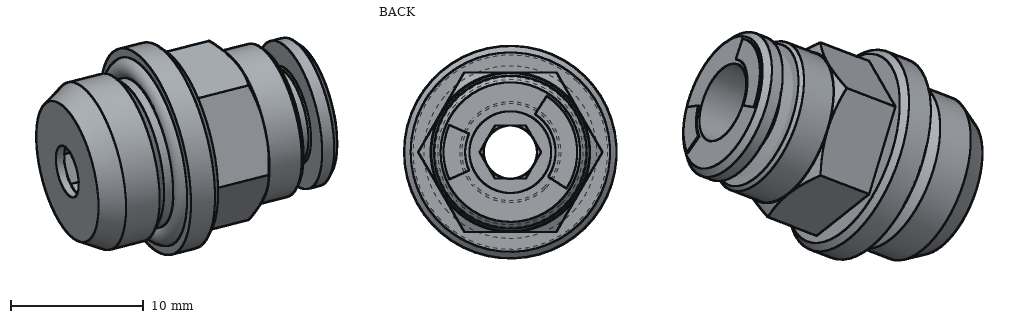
import cadquery as cq
import math


plug_radius = 13.0 / 2
lead_in_length = 1.8
lead_in_angle = 30.0
plug_cylinder_end_y = 4.6
undercut_radius = 11.6 / 2
undercut_start_y = plug_cylinder_end_y + (plug_radius - undercut_radius)

collar_radius = 16.0 / 2
collar_front_y = 6.5
collar_back_y = 9.0
collar_chamfer = 0.5
seal_section_radius = 0.9
seal_mid_radius = 6.45
seal_mid_y = 6.75

hex_sides = 6
hex_across_flats = 12.0
hex_end_y = 14.0
hex_chamfer_angle = 30.0

body_radius = 11.9 / 2
body_end_y = 17.0
body_chamfer = 0.3
lip_radius = 4.95
lip_height = 0.25

neck_radius = 7.3 / 2
neck_flare = 0.15
ring_radius = 11.5 / 2
ring_front_y = 18.5
ring_end_y = 20.0
ring_chamfer = 0.5

pad_height = 0.1
pad_inner_radius = 3.4
pad_outer_radius = 5.03
pad_angles = [(-24.0, 24.0), (123.0, 213.0)]

orifice_diameter = 4.0
orifice_depth = 0.7
socket_across_flats = 4.0
socket_end_y = 5.0
tube_bore_diameter = 6.15


def hex_corner_diameter(across_flats):
    return across_flats / math.cos(math.pi / hex_sides)


def plane_at(y):
    """Plane normal to +Y at the given station, with local x along X and local y along -Z."""
    return cq.Workplane(cq.Plane(origin=(0, y, 0), xDir=(1, 0, 0), normal=(0, 1, 0)))


def revolve_profile(profile):
    """Revolve a half profile, drawn as (radius, y) in the XY plane, about the Y axis."""
    return profile.close().revolve(360, (0, 0, 0), (0, 1, 0))


def make_plug_and_collar():
    tip_radius = plug_radius - lead_in_length * math.tan(math.radians(lead_in_angle))
    seal_inner_rise = math.sqrt(seal_section_radius**2 - (seal_mid_radius - undercut_radius) ** 2)
    seal_outer_reach = math.sqrt(seal_section_radius**2 - (seal_mid_y - collar_front_y) ** 2)
    profile = (
        cq.Workplane("XY")
        .moveTo(0, 0)
        .lineTo(tip_radius, 0)
        .lineTo(plug_radius, lead_in_length)
        .lineTo(plug_radius, plug_cylinder_end_y)
        .lineTo(undercut_radius, undercut_start_y)
        .lineTo(undercut_radius, seal_mid_y - seal_inner_rise)
        .threePointArc(
            (seal_mid_radius, seal_mid_y - seal_section_radius),
            (seal_mid_radius + seal_outer_reach, collar_front_y),
        )
        .lineTo(collar_radius, collar_front_y)
        .lineTo(collar_radius, collar_back_y - collar_chamfer)
        .lineTo(collar_radius - collar_chamfer, collar_back_y)
        .lineTo(0, collar_back_y)
    )
    return revolve_profile(profile)


def make_hexagon():
    corner_diameter = hex_corner_diameter(hex_across_flats)
    prism = plane_at(collar_back_y).polygon(hex_sides, corner_diameter).extrude(hex_end_y - collar_back_y)
    flat_radius = hex_across_flats / 2
    corner_radius = corner_diameter / 2
    chamfer_length = (corner_radius - flat_radius) * math.tan(math.radians(hex_chamfer_angle))
    envelope = revolve_profile(
        cq.Workplane("XY")
        .moveTo(0, collar_back_y)
        .lineTo(corner_radius, collar_back_y)
        .lineTo(corner_radius, hex_end_y - chamfer_length)
        .lineTo(flat_radius, hex_end_y)
        .lineTo(0, hex_end_y)
    )
    return prism.intersect(envelope)


def make_body_and_collet():
    profile = (
        cq.Workplane("XY")
        .moveTo(0, hex_end_y)
        .lineTo(body_radius, hex_end_y)
        .lineTo(body_radius, body_end_y - body_chamfer)
        .lineTo(body_radius - body_chamfer, body_end_y)
        .lineTo(lip_radius, body_end_y)
        .lineTo(neck_radius, body_end_y + lip_height)
        .lineTo(neck_radius, ring_front_y - neck_flare)
        .lineTo(neck_radius + neck_flare, ring_front_y)
        .lineTo(ring_radius, ring_front_y)
        .lineTo(ring_radius, ring_end_y - ring_chamfer)
        .lineTo(ring_radius - ring_chamfer, ring_end_y)
        .lineTo(0, ring_end_y)
    )
    return revolve_profile(profile)


def make_pad(start_angle, end_angle):
    def point(radius, angle):
        return radius * math.cos(math.radians(angle)), -radius * math.sin(math.radians(angle))

    mid_angle = (start_angle + end_angle) / 2
    return (
        plane_at(ring_end_y)
        .moveTo(*point(pad_inner_radius, start_angle))
        .lineTo(*point(pad_outer_radius, start_angle))
        .threePointArc(point(pad_outer_radius, mid_angle), point(pad_outer_radius, end_angle))
        .lineTo(*point(pad_inner_radius, end_angle))
        .threePointArc(point(pad_inner_radius, mid_angle), point(pad_inner_radius, start_angle))
        .close()
        .extrude(pad_height)
    )


def make_passage():
    orifice = plane_at(0).circle(orifice_diameter / 2).extrude(orifice_depth)
    socket = (
        plane_at(orifice_depth)
        .polygon(hex_sides, hex_corner_diameter(socket_across_flats))
        .extrude(socket_end_y - orifice_depth)
    )
    tube_bore = plane_at(socket_end_y).circle(tube_bore_diameter / 2).extrude(ring_end_y - socket_end_y)
    return orifice.union(socket).union(tube_bore)


result = make_plug_and_collar().union(make_hexagon()).union(make_body_and_collet())
for start_angle, end_angle in pad_angles:
    result = result.union(make_pad(start_angle, end_angle))
result = result.cut(make_passage())